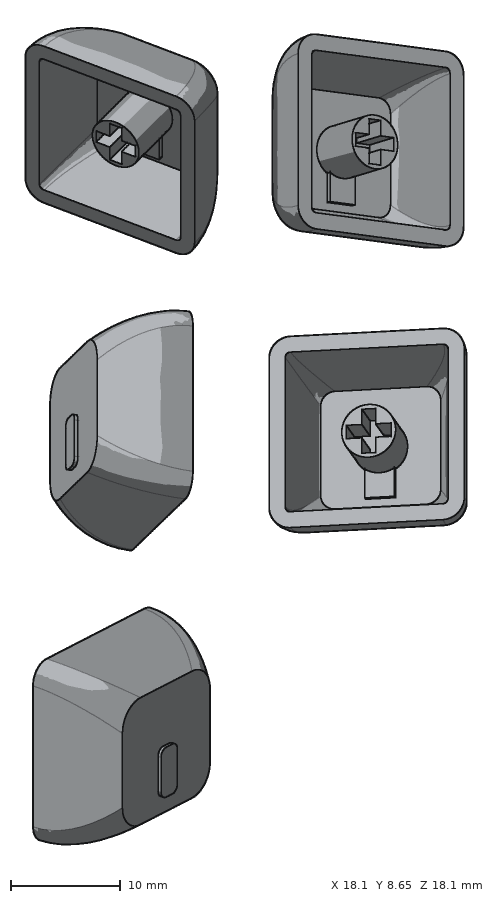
import cadquery as cq
import math

rim_size = 18.1
cap_depth = 8.3
wall = 1.5
side_inset = 2.7
rim_corner_radius = 2.0
top_corner_radius = 2.65
floor_corner_radius = 1.3
loft_sections = 5

side_arc_radius = (cap_depth**2 + side_inset**2) / (2 * side_inset)
floor_depth = cap_depth - wall

stem_diameter = 5.0
stem_recess = 1.0
cross_span = 4.16
cross_width = 1.27
cross_depth = 3.98

legend_width = 2.37
legend_height = 5.0
legend_corner_radius = 0.75
legend_center_z = -2.17
legend_rise = 0.35
legend_base_width = 2.75
legend_base_height = 5.25
legend_base_thickness = 0.5


def at_depth(depth):
    """Workplane parallel to the rim whose extrusions run towards +Y, with Z up."""
    return cq.Workplane(cq.Plane(origin=(0, depth, 0), xDir=(-1, 0, 0), normal=(0, 1, 0)))


def rounded_square(depth, half_width, radius):
    """Closed wire of a square with round corners, lying at the given depth."""
    straight = half_width - radius
    corner_mid = straight + radius * math.sqrt(0.5)
    return (
        at_depth(depth)
        .moveTo(-straight, -half_width)
        .lineTo(straight, -half_width)
        .threePointArc((corner_mid, -corner_mid), (half_width, -straight))
        .lineTo(half_width, straight)
        .threePointArc((corner_mid, corner_mid), (straight, half_width))
        .lineTo(-straight, half_width)
        .threePointArc((-corner_mid, corner_mid), (-half_width, straight))
        .lineTo(-half_width, -straight)
        .threePointArc((-corner_mid, -corner_mid), (-straight, -half_width))
        .close()
        .val()
    )


def domed_block(length, rim_half_width, arc_radius, start_radius, end_radius):
    """Square block with arched sides; its corner radius grows with depth squared."""
    sections = []
    for index in range(loft_sections):
        fraction = index / (loft_sections - 1)
        depth = length * fraction
        inset = arc_radius - math.sqrt(arc_radius**2 - depth**2)
        radius = start_radius + (end_radius - start_radius) * fraction**2
        sections.append(rounded_square(depth, rim_half_width - inset, radius))
    return cq.Workplane(cq.Solid.makeLoft(sections))


def make_shell():
    outside = domed_block(
        cap_depth, rim_size / 2, side_arc_radius, rim_corner_radius, top_corner_radius
    )
    cavity = domed_block(
        floor_depth,
        rim_size / 2 - wall,
        side_arc_radius - wall,
        rim_corner_radius - wall,
        floor_corner_radius,
    )
    return outside.cut(cavity)


def make_stem():
    stem_length = floor_depth + wall / 2 - stem_recess
    face = at_depth(stem_recess)
    stem = face.circle(stem_diameter / 2).extrude(stem_length)
    for width, height in ((cross_span, cross_width), (cross_width, cross_span)):
        stem = stem.cut(face.rect(width, height).extrude(cross_depth))
    return stem


def make_legend():
    base_start = floor_depth - legend_base_thickness
    base = (
        at_depth(base_start)
        .center(0, legend_center_z)
        .rect(legend_base_width, legend_base_height)
        .extrude(legend_base_thickness)
    )
    pad = (
        at_depth(base_start)
        .center(0, legend_center_z)
        .rect(legend_width, legend_height)
        .extrude(cap_depth + legend_rise - base_start)
        .edges("|Y")
        .fillet(legend_corner_radius)
    )
    return base.union(pad)


legend = make_legend()
housing = make_shell().union(make_stem()).cut(legend)

result = cq.Compound.makeCompound([housing.solids().val(), legend.solids().val()])